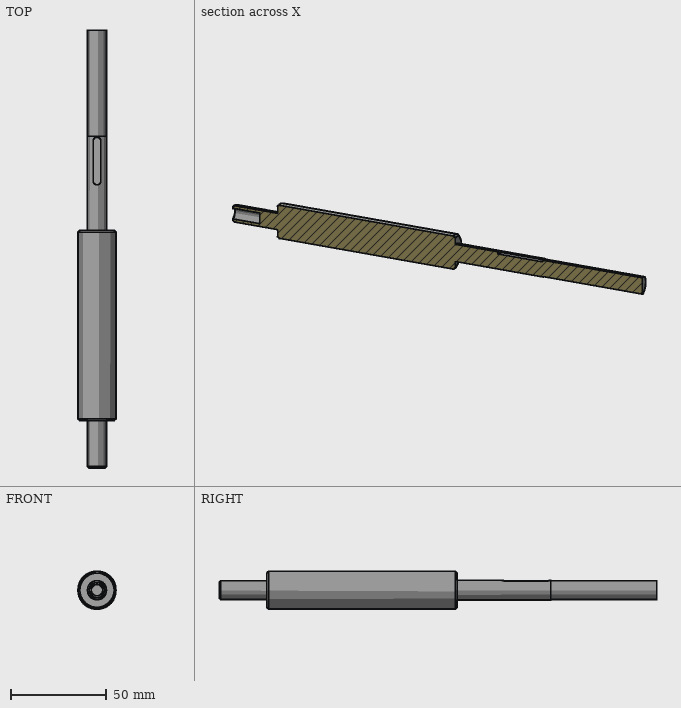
import cadquery as cq

total_length = 230.0
stub_length = 25.0
body_length = 100.0
seat_length = 49.2
tail_length = total_length - stub_length - body_length - seat_length

body_diameter = 20.0
stub_diameter = 10.0
seat_diameter = 10.5
tail_diameter = 10.0

body_chamfer = 1.0
stub_chamfer = 1.0

key_width = 4.0
key_length = 25.0
key_depth = 1.25
key_setback = 0.4

hole_diameter = 6.0
hole_depth = 15.0

body_start = stub_length
seat_start = body_start + body_length
tail_start = seat_start + seat_length


def cylinder(diameter, start, length):
    """Solid cylinder along +Y beginning at y = start."""
    return cq.Workplane("XZ", origin=(0, start, 0)).circle(diameter / 2).extrude(-length)


def stepped_shaft():
    """Journal, roller body, keyed seat and slightly thinner tail on one axis."""
    stub = cylinder(stub_diameter, 0, stub_length).faces("<Y").chamfer(stub_chamfer)
    body = cylinder(body_diameter, body_start, body_length).faces("<Y or >Y").chamfer(body_chamfer)
    seat = cylinder(seat_diameter, seat_start, seat_length)
    tail = cylinder(tail_diameter, tail_start, tail_length)
    return stub.union(body).union(seat).union(tail)


def keyway_cutter():
    """Round-ended slot volume, from the keyway floor up past the seat surface."""
    centre_y = tail_start - key_setback - key_length / 2
    floor_z = seat_diameter / 2 - key_depth
    return (
        cq.Workplane("XY", origin=(0, centre_y, floor_z))
        .slot2D(key_length, key_width, 90)
        .extrude(2 * key_depth)
    )


centre_hole = cylinder(hole_diameter, 0, hole_depth)

result = stepped_shaft().cut(keyway_cutter()).cut(centre_hole)